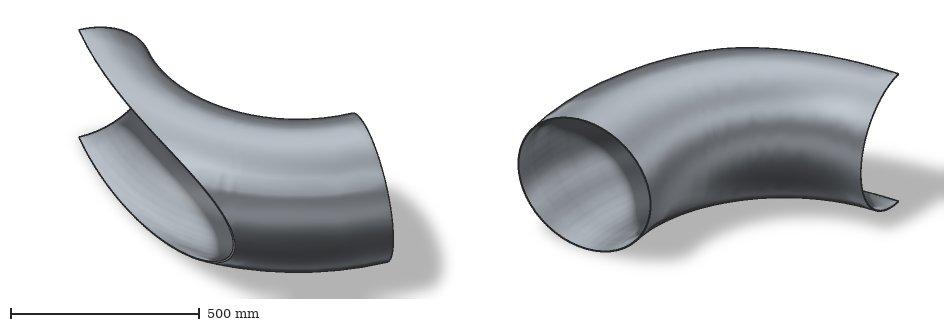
import cadquery as cq

pipe_diameter = 407.0
wall = 3.0
bend_radius = 1.5 * pipe_diameter
bend_angle = 90.0

pipe_radius = pipe_diameter / 2
outer_reach = bend_radius + pipe_radius


def elbow(section_radius):
    """Solid quarter torus about the Z axis, from the -Y direction round to +X."""
    return (
        cq.Workplane("XZ")
        .center(bend_radius, 0)
        .circle(section_radius)
        .revolve(bend_angle, (-bend_radius, 0), (-bend_radius, 1))
        .rotate((0, 0, 0), (0, 0, 1), -bend_angle)
    )


def trim_tool():
    """Prism along Z over everything outside the parabolic joint line.

    The elbow meets an equal pipe lying along X at y = -bend_radius on the
    parabola y = x**2 / (4 * bend_radius) - bend_radius. A quadratic Bezier
    with its middle control point on the apex tangent is exactly that curve.
    """
    far_x = outer_reach + pipe_radius
    far_y = -outer_reach - pipe_radius
    joint_rise = far_x**2 / (4 * bend_radius)
    apex = (0, -bend_radius)
    tangent_point = (far_x / 2, -bend_radius)
    joint_end = (far_x, joint_rise - bend_radius)
    return (
        cq.Workplane("XY")
        .moveTo(*apex)
        .bezier([apex, tangent_point, joint_end])
        .lineTo(far_x, far_y)
        .lineTo(-far_x, far_y)
        .lineTo(-far_x, -bend_radius)
        .close()
        .extrude(pipe_diameter, both=True)
    )


result = elbow(pipe_radius).cut(elbow(pipe_radius - wall)).cut(trim_tool())